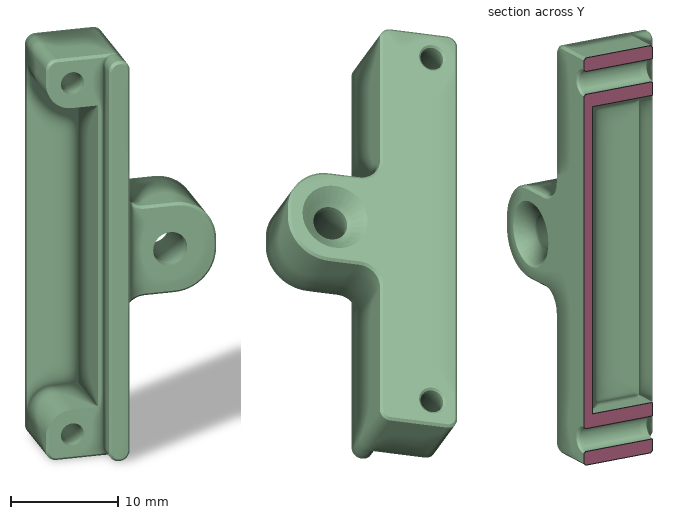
import cadquery as cq

height = 40.0
bar_width = 7.5
bar_depth = 7.5
bar_corner_radius = 1.0
edge_chamfer = 0.25

total_width = 9.5
lip_thickness = 2.0
lip_corner_radius = 0.95
lip_end_inset = 0.05

total_depth = 16.5
ear_height = 8.95
ear_corner_radius = 4.0
ear_root_radius = 2.0
ear_hole_y = 11.95
ear_hole_diameter = 3.3
countersink_diameter = 6.3
countersink_angle = 90.0

side_wall = 1.0
recess_depth = 4.95
end_hole_inset = 2.5
end_hole_diameter = 2.2
end_hole_chamfer = 0.2
end_hole_chamfer_angle = 90.0

mid_z = height / 2
post_height = 2 * end_hole_inset


def block(x_start, x_end, y_start, y_end, z_start, z_end):
    """Rectangular block given by its limits on each axis."""
    size = (x_end - x_start, y_end - y_start, z_end - z_start)
    return cq.Workplane("XY").box(*size, centered=False).translate((x_start, y_start, z_start))


def make_body():
    """Bar and ear with rounded outline and chamfered rims."""
    bar = block(0, bar_width, 0, bar_depth, 0, height).edges("|X").fillet(bar_corner_radius)
    ear_bottom = mid_z - ear_height / 2
    ear_top = mid_z + ear_height / 2
    ear = block(0, bar_width, bar_depth / 2, total_depth, ear_bottom, ear_top)
    ear = ear.edges("|X and >Y").fillet(ear_corner_radius)
    body = bar.union(ear)
    margin = bar_corner_radius / 2
    root_edges = cq.selectors.BoxSelector(
        (-margin, bar_depth - margin, ear_bottom - margin),
        (bar_width + margin, bar_depth + margin, ear_top + margin),
    )
    body = body.edges("|X").edges(root_edges).fillet(ear_root_radius)
    return body.faces("<X or >X").chamfer(edge_chamfer)


def make_recess():
    """Front pocket shaped around the rounded end posts."""
    recess = block(side_wall, total_width, 0, recess_depth, end_hole_inset, height - end_hole_inset)
    for hole_z, inner_z in (
        (end_hole_inset, post_height),
        (height - end_hole_inset, height - post_height),
    ):
        z_low, z_high = sorted((hole_z, inner_z))
        straight = block(side_wall, total_width, end_hole_inset, recess_depth, z_low, z_high)
        round_post = (
            cq.Workplane("YZ", origin=(side_wall, end_hole_inset, hole_z))
            .circle(end_hole_inset)
            .extrude(total_width - side_wall)
        )
        recess = recess.cut(straight).cut(round_post)
    return recess


def make_lip():
    """Rounded lip flush with the back of the bar and just short of its ends."""
    lip = block(
        side_wall, total_width, bar_depth - lip_thickness, bar_depth, lip_end_inset, height - lip_end_inset
    )
    return lip.edges("|X").fillet(lip_corner_radius).faces(">X").chamfer(edge_chamfer)


def countersunk_hole(part, y, z, diameter, rim_diameter, angle):
    """Through hole along X, countersunk from the X = 0 face."""
    face_plane = cq.Workplane("YZ", origin=(0, y, z)).workplane(invert=True)
    return part.copyWorkplane(face_plane).cskHole(diameter, rim_diameter, angle)


def cut_end_holes(part):
    """Through holes in the end posts, chamfered on the outer face."""
    rim_diameter = end_hole_diameter + 2 * end_hole_chamfer
    for hole_z in (end_hole_inset, height - end_hole_inset):
        part = countersunk_hole(
            part, end_hole_inset, hole_z, end_hole_diameter, rim_diameter, end_hole_chamfer_angle
        )
    return part


def cut_ear_hole(part):
    """Countersunk through hole in the ear."""
    return countersunk_hole(
        part, ear_hole_y, mid_z, ear_hole_diameter, countersink_diameter, countersink_angle
    )


result = make_body().cut(make_recess()).union(make_lip())
result = cut_ear_hole(cut_end_holes(result))